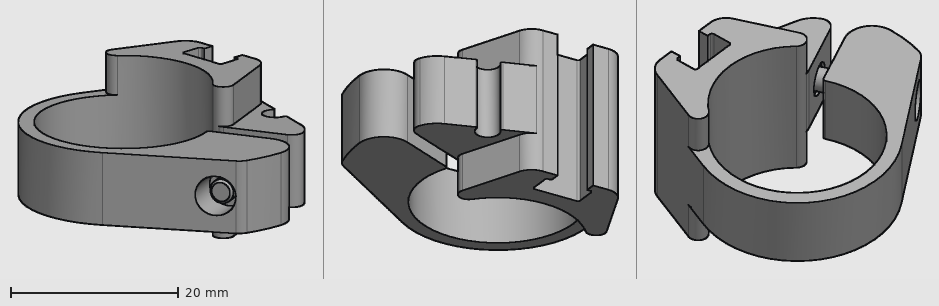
import cadquery as cq
import math

BORE_RADIUS = 10.7
RING_RADIUS = 12.6
RING_HEIGHT = 9.1

SADDLE_HEIGHT = 19.0
SADDLE_TOP = 17.77
FLANK_TILT = 22.5
SHOULDER_RADIUS = 2.5
LOBE_RADIUS = 1.3
SLOT_NECK_WIDTH = 5.0
SLOT_NECK_DEPTH = 1.4
SLOT_WIDTH = 6.5
SLOT_DEPTH = 4.48
SLOT_CORNER_RADIUS = 0.3

LOWER_FACE_OFFSET = 0.38
LOWER_CORNER_RADIUS = 3.47
LOWER_LIP_RADIUS = 0.3
LOWER_EAR_X = 22.1
LOWER_EAR_END = (21.38, -0.65)
LOWER_EAR_CORNER_X = 20.55
EAR_TANGENT_ANGLE = -57.2
UPPER_FACE_OFFSET = 2.55
UPPER_ROOT_RADIUS = 2.0
UPPER_SLOPE = 18.8
UPPER_BACK_START_X = 16.1
UPPER_BACK_END = (18.33, 12.05)
UPPER_TIP_X = 17.6
NOTCH_DIAMETER = 3.1
NOTCH_CENTER = (10.62, 15.03)
NOTCH_LIP_RADIUS = 0.2

SCREW_DISTANCE = 15.9
SCREW_DIAMETER = 3.0
SCREW_TIP_DEPTH = 8.6
SCREW_CHAMFER = 0.3
COUNTERBORE_DIAMETER = 4.9
COUNTERBORE_FLOOR_DEPTH = 6.1
RECESS_DIAMETER = 4.15
RECESS_DEPTH = 0.4


def polar(radius, angle, center=(0, 0)):
    """Point at a radius and an angle in degrees around a center."""
    turn = math.radians(angle)
    return (center[0] + radius * math.cos(turn), center[1] + radius * math.sin(turn))


def mirror(point):
    return (-point[0], point[1])


def jaw_point(distance, offset):
    """Point at a distance along the jaw direction and an offset square to it."""
    return polar(offset, FLANK_TILT + 90, polar(distance, FLANK_TILT))


def jaw_point_at_x(x, offset):
    """Point with a given X on the line parallel to the jaw faces."""
    turn = math.radians(FLANK_TILT)
    return (x, (offset + x * math.sin(turn)) / math.cos(turn))


def prism(sketch, height):
    return sketch.close().extrude(height / 2, both=True)


lobe_distance = BORE_RADIUS + LOBE_RADIUS
lobe_angle = FLANK_TILT + math.degrees(math.acos((RING_RADIUS - LOBE_RADIUS) / lobe_distance))
lobe_center = polar(lobe_distance, lobe_angle)
lobe_bore_point = polar(BORE_RADIUS, lobe_angle)
lobe_flank_point = polar(LOBE_RADIUS, FLANK_TILT, lobe_center)
lobe_bottom = polar(LOBE_RADIUS, -90, lobe_center)

tilt = math.radians(FLANK_TILT)
flank_top_x = (RING_RADIUS - SADDLE_TOP * math.sin(tilt)) / math.cos(tilt)
shoulder_x = flank_top_x - SHOULDER_RADIUS * math.tan((math.pi / 2 - tilt) / 2)
shoulder_center = (shoulder_x, SADDLE_TOP - SHOULDER_RADIUS)
shoulder_top = (shoulder_x, SADDLE_TOP)
shoulder_middle = polar(SHOULDER_RADIUS, (90 + FLANK_TILT) / 2, shoulder_center)
shoulder_end = polar(SHOULDER_RADIUS, FLANK_TILT, shoulder_center)


def make_saddle():
    body = prism(
        cq.Workplane("XY")
        .moveTo(*mirror(shoulder_top))
        .lineTo(*shoulder_top)
        .threePointArc(shoulder_middle, shoulder_end)
        .lineTo(*lobe_flank_point)
        .threePointArc(lobe_bottom, lobe_bore_point)
        .threePointArc((0, BORE_RADIUS), mirror(lobe_bore_point))
        .threePointArc(mirror(lobe_bottom), mirror(lobe_flank_point))
        .lineTo(*mirror(shoulder_end))
        .threePointArc(mirror(shoulder_middle), mirror(shoulder_top)),
        SADDLE_HEIGHT,
    )
    neck = (
        cq.Workplane("XY")
        .box(SLOT_NECK_WIDTH, 2 * SLOT_NECK_DEPTH, SADDLE_HEIGHT)
        .translate((0, SADDLE_TOP, 0))
    )
    pocket_depth = SLOT_DEPTH - SLOT_NECK_DEPTH
    pocket = (
        cq.Workplane("XY")
        .box(SLOT_WIDTH, pocket_depth, SADDLE_HEIGHT)
        .edges("|Z")
        .fillet(SLOT_CORNER_RADIUS)
        .translate((0, SADDLE_TOP - SLOT_NECK_DEPTH - pocket_depth / 2, 0))
    )
    return body.cut(neck).cut(pocket)


def make_ring_and_lower_jaw():
    corner_center_x = LOWER_EAR_X - LOWER_CORNER_RADIUS
    center_offset = LOWER_FACE_OFFSET - LOWER_CORNER_RADIUS
    corner_center = jaw_point_at_x(corner_center_x, center_offset)
    turn = math.radians(EAR_TANGENT_ANGLE)
    underside_y = (RING_RADIUS - LOWER_EAR_CORNER_X * math.cos(turn)) / math.sin(turn)
    flank_angle = 180 - FLANK_TILT
    return prism(
        cq.Workplane("XY")
        .moveTo(0, 0)
        .lineTo(*jaw_point(BORE_RADIUS / 2, LOWER_FACE_OFFSET))
        .lineTo(*polar(LOWER_CORNER_RADIUS, FLANK_TILT + 90, corner_center))
        .threePointArc(
            polar(LOWER_CORNER_RADIUS, (FLANK_TILT + 90) / 2, corner_center),
            polar(LOWER_CORNER_RADIUS, 0, corner_center),
        )
        .tangentArcPoint(LOWER_EAR_END, relative=False)
        .tangentArcPoint((LOWER_EAR_CORNER_X, underside_y), relative=False)
        .lineTo(*polar(RING_RADIUS, EAR_TANGENT_ANGLE))
        .threePointArc(
            polar(RING_RADIUS, (EAR_TANGENT_ANGLE - 360 + flank_angle) / 2),
            polar(RING_RADIUS, flank_angle),
        )
        .lineTo(*mirror(lobe_flank_point))
        .lineTo(*mirror(lobe_center)),
        RING_HEIGHT,
    )


def make_upper_jaw():
    top_start = polar(SHOULDER_RADIUS, 90 - UPPER_SLOPE, shoulder_center)
    top_drop = (UPPER_BACK_START_X - top_start[0]) * math.tan(math.radians(UPPER_SLOPE))
    root_distance = BORE_RADIUS + UPPER_ROOT_RADIUS
    root_offset = UPPER_FACE_OFFSET + UPPER_ROOT_RADIUS
    root_center = jaw_point(math.sqrt(root_distance**2 - root_offset**2), root_offset)
    root_angle = math.degrees(math.atan2(root_center[1], root_center[0]))
    root_bore_point = polar(BORE_RADIUS, root_angle)
    root_middle = polar(UPPER_ROOT_RADIUS, (root_angle + FLANK_TILT - 270) / 2, root_center)
    root_face_point = polar(UPPER_ROOT_RADIUS, FLANK_TILT - 90, root_center)
    body = prism(
        cq.Workplane("XY")
        .moveTo(*root_bore_point)
        .lineTo(*shoulder_center)
        .lineTo(*top_start)
        .lineTo(UPPER_BACK_START_X, top_start[1] - top_drop)
        .tangentArcPoint(UPPER_BACK_END, relative=False)
        .tangentArcPoint(jaw_point_at_x(UPPER_TIP_X, UPPER_FACE_OFFSET), relative=False)
        .lineTo(*root_face_point)
        .threePointArc(root_middle, root_bore_point),
        RING_HEIGHT,
    )
    notch = cq.Workplane("XY").center(*NOTCH_CENTER).circle(NOTCH_DIAMETER / 2)
    body = body.cut(notch.extrude(RING_HEIGHT / 2, both=True))
    reach = NOTCH_DIAMETER / 2 + NOTCH_LIP_RADIUS
    lips = cq.selectors.BoxSelector(
        (NOTCH_CENTER[0] - reach, NOTCH_CENTER[1] - reach, -RING_HEIGHT),
        (NOTCH_CENTER[0] + reach, NOTCH_CENTER[1] + reach, RING_HEIGHT),
    )
    return body.edges("|Z").edges(lips).fillet(NOTCH_LIP_RADIUS)


def screw_cylinder(diameter, start, end):
    """Cylinder on the screw axis between two depths below the lower jaw face."""
    x, y = jaw_point(SCREW_DISTANCE, LOWER_FACE_OFFSET - start)
    plane = cq.Plane(
        origin=(x, y, 0),
        xDir=(0, 0, 1),
        normal=(math.sin(tilt), -math.cos(tilt), 0),
    )
    return cq.Workplane(plane).circle(diameter / 2).extrude(end - start)


bore = cq.Workplane("XY").circle(BORE_RADIUS).extrude(RING_HEIGHT / 2, both=True)
ring = make_ring_and_lower_jaw().cut(bore)
lip = jaw_point(math.sqrt(BORE_RADIUS**2 - LOWER_FACE_OFFSET**2), LOWER_FACE_OFFSET)
ring = ring.edges(cq.selectors.NearestToPointSelector((*lip, 0))).fillet(LOWER_LIP_RADIUS)
counterbore = screw_cylinder(COUNTERBORE_DIAMETER, COUNTERBORE_FLOOR_DEPTH, RING_RADIUS)

upper_face_depth = LOWER_FACE_OFFSET - UPPER_FACE_OFFSET
recess_floor_depth = upper_face_depth - RECESS_DEPTH
recess = screw_cylinder(RECESS_DIAMETER, recess_floor_depth, upper_face_depth)
screw = screw_cylinder(SCREW_DIAMETER, recess_floor_depth, SCREW_TIP_DEPTH)
screw_end = cq.selectors.DirectionMinMaxSelector(cq.Vector(math.sin(tilt), -math.cos(tilt), 0))
screw = screw.faces(screw_end).chamfer(SCREW_CHAMFER)

result = (
    ring.cut(counterbore)
    .union(make_upper_jaw().cut(recess))
    .union(make_saddle())
    .union(screw)
)